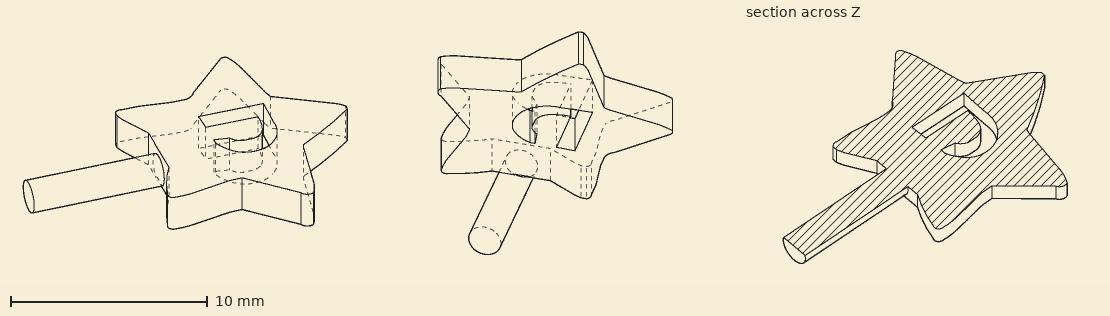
import cadquery as cq
import math

plate_thickness = 2.01
stick_diameter = 1.7
stick_drop = 0.09
stick_end_x = 0.28
stick_root = (0.2, 7.06)


def star_plate():
    """Star with five uneven, rounded arms; the free stick end lies near Y = 0."""
    outline = (
        cq.Workplane("XY")
        .moveTo(-2.3, 13.85)
        .lineTo(-0.74, 16.69)
        .threePointArc((-0.53, 17.0), (-0.33, 17.2))
        .threePointArc((-0.22, 17.22), (-0.05, 17.2))
        .threePointArc((1.07, 15.75), (2.12, 14.12))
        .lineTo(2.32, 14.05)
        .lineTo(5.39, 13.59)
        .threePointArc((5.85, 13.45), (6.16, 13.3))
        .threePointArc((6.22, 13.12), (5.95, 12.69))
        .lineTo(3.8, 10.26)
        .lineTo(3.82, 9.6)
        .lineTo(4.2, 7.66)
        .threePointArc((4.29, 7.06), (4.29, 6.47))
        .threePointArc((4.18, 6.27), (3.84, 6.25))
        .threePointArc((2.77, 6.56), (1.75, 7.03))
        .lineTo(-1.33, 6.97)
        .lineTo(-2.8, 6.1)
        .lineTo(-3.22, 5.92)
        .lineTo(-3.5, 5.92)
        .threePointArc((-3.6, 6.01), (-3.65, 6.32))
        .lineTo(-3.65, 7.25)
        .lineTo(-3.45, 8.92)
        .lineTo(-3.45, 9.65)
        .threePointArc((-3.58, 10.0), (-3.84, 10.21))
        .lineTo(-6.13, 12.43)
        .threePointArc((-6.22, 12.69), (-6.11, 12.85))
        .threePointArc((-5.55, 13.09), (-4.92, 13.25))
        .lineTo(-2.67, 13.72)
        .close()
    )
    return outline.extrude(plate_thickness)


def hooked_cutout():
    """Through opening: an upright bar whose top bends round into a hook."""
    outline = (
        cq.Workplane("XY")
        .moveTo(-0.86, 9.88)
        .lineTo(-1.85, 9.83)
        .lineTo(-1.85, 13.31)
        .lineTo(-0.17, 13.3)
        .threePointArc((1.0, 13.05), (1.58, 12.52))
        .threePointArc((1.86, 11.68), (1.69, 10.83))
        .threePointArc((1.1, 10.23), (0.55, 9.94))
        .lineTo(0.28, 9.94)
        .lineTo(0.4, 10.75)
        .threePointArc((0.62, 10.93), (0.81, 11.31))
        .lineTo(0.81, 11.83)
        .threePointArc((0.62, 12.28), (0.17, 12.57))
        .threePointArc((-0.31, 12.67), (-0.86, 12.69))
        .close()
    )
    return outline.extrude(plate_thickness)


def stick():
    """Round stick, leaning slightly sideways from the star's bottom edge."""
    radius = stick_diameter / 2
    root_x, root_y = stick_root
    lean_x = stick_end_x - root_x
    lean_angle = math.atan2(lean_x, root_y)
    end_y = radius * math.sin(lean_angle)
    length = (root_y - end_y) / math.cos(lean_angle)
    root = cq.Vector(root_x, root_y, radius - stick_drop)
    direction = cq.Vector(lean_x, -root_y, 0)
    return cq.Workplane(obj=cq.Solid.makeCylinder(radius, length, root, direction))


result = star_plate().cut(hooked_cutout()).union(stick())